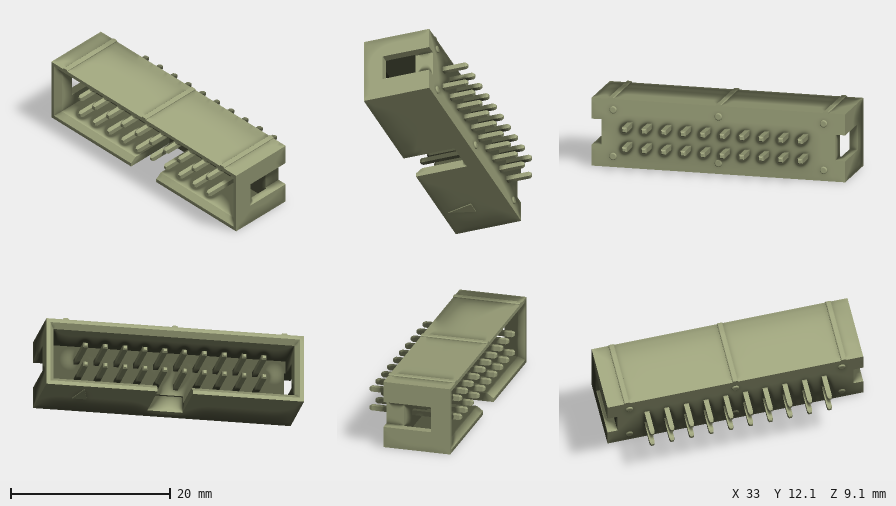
import cadquery as cq


length = 33.02
depth = 8.78
height = 8.8

rim_width = 0.5
wall = 1.1
base_thickness = 2.35
mouth_bevel_depth = 0.8
cavity_depth = depth - base_thickness

key_width = 4.5
key_height = 2.08
key_depth = 6.8

end_groove_width = 3.37
end_groove_length = 6.25
end_groove_depth = 1.3

pins_per_row = 10
row_count = 2
pitch = 2.55
pin_size = 0.63
pin_taper_length = 0.3
pin_taper_inset = 0.13
tail_length = 3.3

rib_spacing = 14.0
rib_width = 0.73
rib_height = 0.2
rib_chamfer = 0.1
foot_spacing_x = 13.7
foot_spacing_z = 6.05
foot_diameter = 0.95
foot_height = 0.2
foot_rounding = 0.15

mark_width = 1.85
mark_length = 3.37
mark_front_gap = 0.9
mark_height = 0.1


def block(x_size, y_start, y_end, z_size, x=0, z=0):
    """Box centred on (x, z) that spans y_start to y_end."""
    return (
        cq.Workplane("XY")
        .box(x_size, y_end - y_start, z_size)
        .translate((x, (y_start + y_end) / 2, z))
    )


def make_cavity():
    bore = block(length - 2 * wall, 0, cavity_depth, height - 2 * wall)
    mouth = (
        cq.Workplane("XZ")
        .rect(length - 2 * rim_width, height - 2 * rim_width)
        .workplane(offset=-mouth_bevel_depth)
        .rect(length - 2 * wall, height - 2 * wall)
        .loft(ruled=True)
    )
    return bore.union(mouth)


def make_key_notch():
    return block(key_width, 0, key_depth, key_height, z=(key_height - height) / 2)


def make_end_groove(side):
    x = side * (length - end_groove_depth) / 2
    return block(end_groove_depth, depth - end_groove_length, depth, end_groove_width, x=x)


def make_tip(y_base, direction):
    """Tapered pin end that starts at y_base and points along direction (+1 or -1)."""
    tip_size = pin_size - 2 * pin_taper_inset
    return (
        cq.Workplane("XZ", origin=(0, y_base, 0))
        .rect(pin_size, pin_size)
        .workplane(offset=-direction * pin_taper_length)
        .rect(tip_size, tip_size)
        .loft(ruled=True)
    )


def make_pin():
    """Pin whose front end is flush with the mating rim."""
    shank_start = pin_taper_length
    shank_end = depth + tail_length - pin_taper_length
    shank = block(pin_size, shank_start, shank_end, pin_size)
    return shank.union(make_tip(shank_start, -1)).union(make_tip(shank_end, 1))


def make_foot(x, z):
    return (
        cq.Workplane("XZ", origin=(x, depth, z))
        .circle(foot_diameter / 2)
        .extrude(-foot_height)
        .faces(">Y")
        .fillet(foot_rounding)
    )


def make_pin_one_mark(x):
    mark_end = mark_front_gap + mark_length
    corners = [
        (x, mark_front_gap),
        (x + mark_width / 2, mark_end),
        (x - mark_width / 2, mark_end),
    ]
    return (
        cq.Workplane("XY", origin=(0, 0, -height / 2))
        .polyline(corners)
        .close()
        .extrude(-mark_height)
    )


result = block(length, 0, depth, height).cut(make_cavity()).cut(make_key_notch())

for side in (-1, 1):
    result = result.cut(make_end_groove(side))

for position in (-1, 0, 1):
    rib_z = (height + rib_height) / 2
    rib = block(rib_width, 0, depth, rib_height, x=position * rib_spacing, z=rib_z)
    rib = rib.faces(">Z").edges("|Y").chamfer(rib_chamfer)
    result = result.union(rib)
    for level in (-1, 1):
        foot = make_foot(position * foot_spacing_x, level * foot_spacing_z / 2)
        result = result.union(foot)

pin = make_pin()
first_pin_x = -(pins_per_row - 1) * pitch / 2
first_row_z = -(row_count - 1) * pitch / 2
for column in range(pins_per_row):
    for row in range(row_count):
        pin_x = first_pin_x + column * pitch
        pin_z = first_row_z + row * pitch
        result = result.union(pin.translate((pin_x, 0, pin_z)))

result = result.union(make_pin_one_mark(first_pin_x))